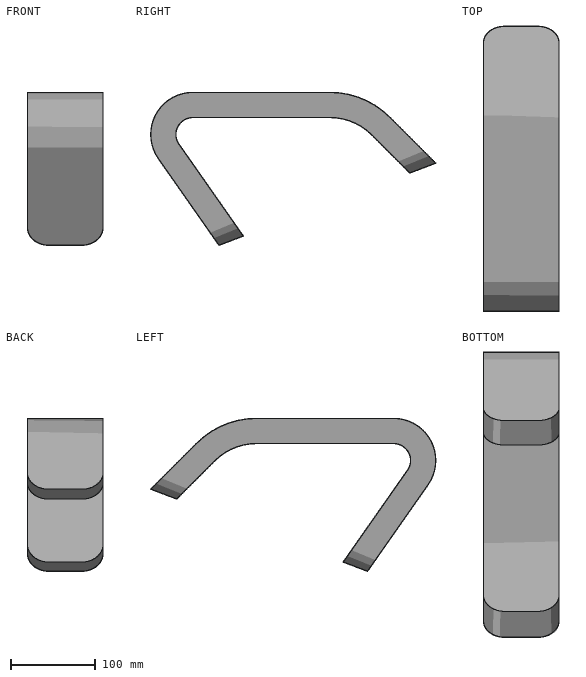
import cadquery as cq
import math

length = 338.8
width = 90.0
thickness = 30.0
front_radius = 50.0
rear_radius = 100.0
top_length = 163.0
front_slope = 55
rear_slope = 45
front_leg_length = 125.7
foot_corner_radius = 25.5
leg_blank_length = 203.3
trim_size = 1355


def on_circle(center, radius, degrees):
    angle = math.radians(degrees)
    return (center[0] + radius * math.cos(angle), center[1] + radius * math.sin(angle))


front_center = (0, 0)
rear_center = (top_length, front_radius - rear_radius)
front_end = 270 - front_slope
rear_end = 90 - rear_slope
front_leg_direction = -front_slope
rear_leg_direction = -rear_slope

front_leg_start = on_circle(front_center, front_radius, front_end)
front_tip = on_circle(front_leg_start, front_leg_length, front_leg_direction)
rear_leg_start = on_circle(rear_center, rear_radius, rear_end)
rear_tip_y = length - front_radius
rear_leg_run = rear_tip_y - rear_leg_start[0]
rear_tip_z = rear_leg_start[1] - rear_leg_run * math.tan(math.radians(rear_slope))
foot_tilt = math.degrees(math.atan2(rear_tip_z - front_tip[1], rear_tip_y - front_tip[0]))


def bend_points(center, radius, end):
    """Start, middle and leg end of a bend that starts at the flat top."""
    return [on_circle(center, radius, angle) for angle in (90, (90 + end) / 2, end)]


def make_strip():
    front_outer = bend_points(front_center, front_radius, front_end)
    front_inner = bend_points(front_center, front_radius - thickness, front_end)
    rear_outer = bend_points(rear_center, rear_radius, rear_end)
    rear_inner = bend_points(rear_center, rear_radius - thickness, rear_end)
    return (
        cq.Workplane("YZ")
        .moveTo(*front_outer[0])
        .lineTo(*rear_outer[0])
        .threePointArc(rear_outer[1], rear_outer[2])
        .lineTo(*on_circle(rear_outer[2], leg_blank_length, rear_leg_direction))
        .lineTo(*on_circle(rear_inner[2], leg_blank_length, rear_leg_direction))
        .lineTo(*rear_inner[2])
        .threePointArc(rear_inner[1], rear_inner[0])
        .lineTo(*front_inner[0])
        .threePointArc(front_inner[1], front_inner[2])
        .lineTo(*on_circle(front_inner[2], leg_blank_length, front_leg_direction))
        .lineTo(*on_circle(front_outer[2], leg_blank_length, front_leg_direction))
        .lineTo(*front_outer[2])
        .threePointArc(front_outer[1], front_outer[0])
        .close()
        .extrude(width / 2, both=True)
    )


def trim_feet(strip):
    """Cut both legs off along the shared tilted foot plane."""
    below_feet = (
        cq.Workplane("XY")
        .box(trim_size, trim_size, trim_size, centered=(True, True, False))
        .translate((0, 0, -trim_size))
        .rotate((0, 0, 0), (1, 0, 0), foot_tilt)
        .translate((0, *front_tip))
    )
    return strip.cut(below_feet)


def round_feet(handle):
    """Round the foot corners, whose edges run along the tilted foot plane."""
    tilt = math.radians(foot_tilt)
    edge_direction = cq.Vector(0, math.cos(tilt), math.sin(tilt))
    return handle.edges(cq.selectors.ParallelDirSelector(edge_direction)).fillet(foot_corner_radius)


result = round_feet(trim_feet(make_strip()))